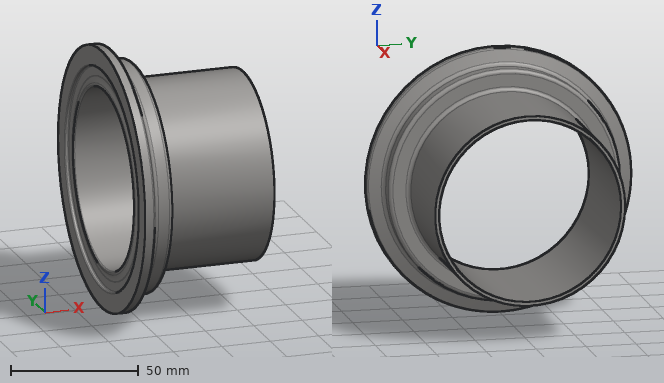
import cadquery as cq
import math


total_length = 58.5
bore_radius = 72.9 / 2
tube_radius = 76.2 / 2

flange_radius = 106 / 2
flange_corner_x = 4.0
clamp_angle = math.radians(20)
hub_radius = 93 / 2
hub_end_x = 13.83
flange_rim_round = 0.7
flange_root_round = 2.0
hub_round = 1.6

recess_radius = 89.6 / 2
recess_depth = 1.6
recess_round = 0.35

groove_center_radius = 39.95
groove_section_radius = 3.8
groove_outer_radius = 40.6
groove_edge_round = 1.5
lip_crest_depth = 0.8
bore_mouth_round = 0.5
lip_crest_width = 0.1


def point_on_circle(center, radius, angle):
    """Point at an angle measured from the +X direction toward larger radius."""
    return (center[0] + radius * math.cos(angle), center[1] + radius * math.sin(angle))


def round_edge(solid, x, radius, size):
    """Round the circular edge of the given radius in the plane at x."""
    margin = 0.01
    reach = radius + margin
    ring_box = cq.selectors.BoxSelector(
        (x - margin, -reach, -reach),
        (x + margin, reach, reach),
        boundingbox=True,
    )
    largest_circle = cq.selectors.RadiusNthSelector(-1)
    return solid.edges(ring_box).edges(largest_circle).fillet(size)


def make_outer_body():
    """Solid of revolution of the outside shape, with its edges rounded."""
    cone_end_x = flange_corner_x + (flange_radius - hub_radius) * math.tan(clamp_angle)
    outline = [
        (0, 0),
        (0, flange_radius),
        (flange_corner_x, flange_radius),
        (cone_end_x, hub_radius),
        (hub_end_x, hub_radius),
        (hub_end_x, tube_radius),
        (total_length, tube_radius),
        (total_length, 0),
    ]
    body = cq.Workplane("XY").polyline(outline).close().revolve(360, (0, 0, 0), (1, 0, 0))

    body = round_edge(body, flange_corner_x, flange_radius, flange_rim_round)
    body = round_edge(body, cone_end_x, hub_radius, flange_root_round)
    body = round_edge(body, hub_end_x, tube_radius, hub_round)
    return round_edge(body, hub_end_x, hub_radius, hub_round)


def make_inner_cut():
    """Bore, lip, seal groove and face recess as one solid of revolution."""
    tangent_distance = groove_section_radius + groove_edge_round
    half_opening = groove_outer_radius - groove_center_radius
    groove_center_x = recess_depth - math.sqrt(groove_section_radius**2 - half_opening**2)
    groove_center = (groove_center_x, groove_center_radius)
    edge_center_x = recess_depth + groove_edge_round
    edge_angle = math.acos((edge_center_x - groove_center_x) / tangent_distance)
    edge_center = point_on_circle(groove_center, tangent_distance, edge_angle)

    lip_center_radius = bore_radius + bore_mouth_round + lip_crest_width
    center_drop = groove_center_radius - lip_center_radius
    crest_offset = lip_crest_depth - groove_center_x
    lip_round = (center_drop**2 + crest_offset**2 - groove_section_radius**2) / (
        2 * (groove_section_radius - crest_offset)
    )
    lip_center = (lip_crest_depth + lip_round, lip_center_radius)
    lip_angle = -math.atan2(center_drop, lip_center[0] - groove_center_x)

    mouth_center = (lip_crest_depth + bore_mouth_round, bore_radius + bore_mouth_round)

    recess_mouth_center = (recess_round, recess_radius + recess_round)
    recess_floor_center = (recess_depth - recess_round, recess_radius - recess_round)
    eighth_turn = math.pi / 4

    return (
        cq.Workplane("XY")
        .moveTo(0, 0)
        .lineTo(0, recess_radius + recess_round)
        .threePointArc(
            point_on_circle(recess_mouth_center, recess_round, -3 * eighth_turn),
            (recess_round, recess_radius),
        )
        .lineTo(recess_floor_center[0], recess_radius)
        .threePointArc(
            point_on_circle(recess_floor_center, recess_round, eighth_turn),
            (recess_depth, recess_floor_center[1]),
        )
        .lineTo(recess_depth, edge_center[1])
        .threePointArc(
            point_on_circle(edge_center, groove_edge_round, math.pi + edge_angle / 2),
            point_on_circle(groove_center, groove_section_radius, edge_angle),
        )
        .threePointArc(
            point_on_circle(groove_center, groove_section_radius, (edge_angle + lip_angle) / 2),
            point_on_circle(groove_center, groove_section_radius, lip_angle),
        )
        .threePointArc(
            point_on_circle(lip_center, lip_round, math.pi + lip_angle / 2),
            (lip_crest_depth, lip_center_radius),
        )
        .lineTo(lip_crest_depth, mouth_center[1])
        .threePointArc(
            point_on_circle(mouth_center, bore_mouth_round, -3 * eighth_turn),
            (mouth_center[0], bore_radius),
        )
        .lineTo(total_length, bore_radius)
        .lineTo(total_length, 0)
        .close()
        .revolve(360, (0, 0, 0), (1, 0, 0))
    )


result = make_outer_body().cut(make_inner_cut())